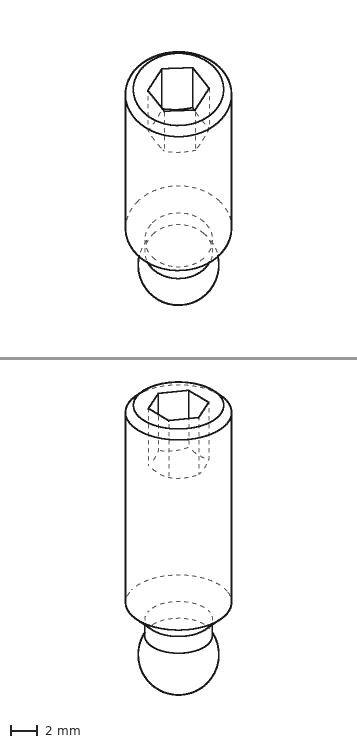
import cadquery as cq
import math

total_length = 25.0
body_radius = 4.0
top_chamfer = 0.6

ball_radius = 3.05
neck_radius = 2.55
neck_top = 6.2

socket_across_flats = 4.0
socket_depth = 5.0
socket_tip_angle = 120.0

ball_center = ball_radius
neck_bottom = ball_center + math.sqrt(ball_radius**2 - neck_radius**2)
body_bottom = neck_top + body_radius - neck_radius


def make_stud():
    """Revolve the half outline of the ball, neck and body about Z."""
    return (
        cq.Workplane("XZ")
        .moveTo(0, 0)
        .threePointArc((ball_radius, ball_center), (neck_radius, neck_bottom))
        .lineTo(neck_radius, neck_top)
        .lineTo(body_radius, body_bottom)
        .lineTo(body_radius, total_length - top_chamfer)
        .lineTo(body_radius - top_chamfer, total_length)
        .lineTo(0, total_length)
        .close()
        .revolve(360, (0, 0), (0, 1))
    )


def make_socket():
    """Hexagonal prism, corners along X, whose lower end is a cone reaching its corners."""
    corner_radius = socket_across_flats / math.sqrt(3)
    tip_depth = corner_radius / math.tan(math.radians(socket_tip_angle / 2))
    socket_bottom = total_length - socket_depth
    tip = socket_bottom - tip_depth
    prism = (
        cq.Workplane("XY")
        .workplane(offset=tip)
        .polygon(6, 2 * corner_radius)
        .extrude(total_length - tip)
    )
    pointed_cylinder = (
        cq.Workplane("XZ")
        .moveTo(0, tip)
        .lineTo(corner_radius, socket_bottom)
        .lineTo(corner_radius, total_length)
        .lineTo(0, total_length)
        .close()
        .revolve(360, (0, 0), (0, 1))
    )
    return prism.intersect(pointed_cylinder)


result = make_stud().cut(make_socket())